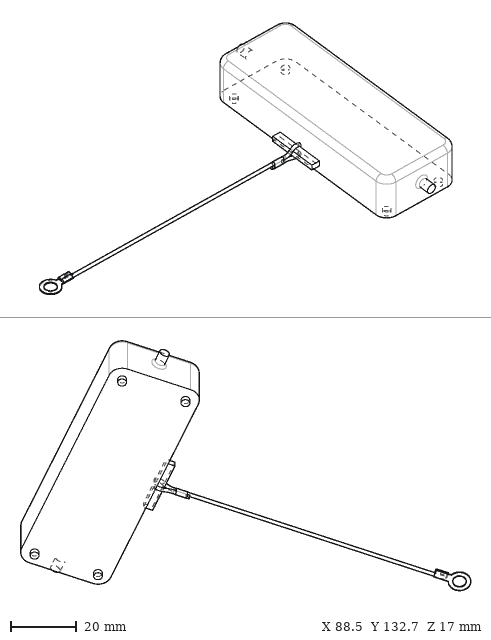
import cadquery as cq

body_length = 79.3
body_width = 29.3
body_height = 15.4
corner_radius = 4.2
top_round = 2.0

foot_diameter = 2.7
foot_height = 1.6

overall_span = 88.5
pin_diameter = 3.2
pin_root_radius = 0.8
pin_height = 7.8

lug_length = 18.2
lug_depth = 3.0
lug_thickness = 2.0
lug_height = 3.8

overall_length = 132.7
cord_diameter = 1.2
cord_height = lug_height
tail_drop = 1.26
loop_anchor = 0.7
loop_anchor_rise = 1.3
loop_crest = 2.3
loop_rise = 2.0
loop_end = 6.1
tail_end = 11.4
cord_insertion = 0.4

ferrule_start = 6.9
ferrule_end = 10.6
ferrule_width = 1.3

ring_diameter = 6.9
ring_hole_diameter = 4.1
ring_thickness = 0.4
terminal_offset = -0.8
crimp_start = 91.8
crimp_length = 4.0
crimp_diameter = 1.3
crimp_spacing = 1.26

wall_y = -body_width / 2
tether_reach = overall_length - body_width
ring_distance = tether_reach - ring_diameter / 2


def rod(diameter, start, end, x, z):
    """Round bar along the tether between two distances from the front wall."""
    return (
        cq.Workplane("XZ", origin=(x, wall_y - start, z))
        .circle(diameter / 2)
        .extrude(end - start)
    )


def cover_body():
    block = cq.Workplane("XY").box(body_length, body_width, body_height, centered=(True, True, False))
    return block.edges("|Z").fillet(corner_radius).faces(">Z").edges().fillet(top_round)


def feet():
    return (
        cq.Workplane("XY")
        .rect(body_length - 2 * corner_radius, body_width - 2 * corner_radius, forConstruction=True)
        .vertices()
        .circle(foot_diameter / 2)
        .extrude(-foot_height)
    )


def locking_pin(side):
    """Pin with a flared root, turned about the X axis; side is +1 or -1."""
    radius = pin_diameter / 2
    wall_x = body_length / 2
    flare = pin_root_radius
    flare_middle = flare * (1 - 0.5 ** 0.5)
    profile = (
        cq.Workplane("XZ")
        .moveTo(0, 0)
        .lineTo(side * overall_span / 2, 0)
        .lineTo(side * overall_span / 2, radius)
        .lineTo(side * (wall_x + flare), radius)
        .threePointArc(
            (side * (wall_x + flare_middle), radius + flare_middle),
            (side * wall_x, radius + flare),
        )
        .lineTo(0, radius + flare)
        .close()
    )
    return profile.revolve(360, (0, 0, 0), (1, 0, 0)).translate((0, 0, pin_height))


def lug():
    depth = lug_depth + lug_thickness
    return cq.Workplane("XY").box(lug_length, depth, lug_thickness).translate(
        (0, wall_y - lug_depth + depth / 2, lug_height)
    )


def strand(side, end_drop, end):
    """One length of cord: over (+1) or under (-1) the lug, then straight out to its end."""
    path = (
        cq.Workplane("YZ", origin=(0, wall_y, cord_height))
        .spline(
            [
                (loop_anchor, side * loop_anchor_rise),
                (-loop_crest, side * loop_rise),
                (-loop_end, -end_drop),
            ],
            tangents=[(-loop_crest, side * loop_rise), (-1, 0)],
        )
        .lineTo(-end, -end_drop)
    )
    section_plane = cq.Plane(
        origin=(0, wall_y + loop_anchor, cord_height + side * loop_anchor_rise),
        xDir=(1, 0, 0),
        normal=(0, -loop_crest, side * loop_rise),
    )
    return cq.Workplane(section_plane).circle(cord_diameter / 2).sweep(path)


def ferrule():
    height = ferrule_width + tail_drop
    return (
        cq.Workplane("XZ", origin=(0, wall_y - ferrule_start, cord_height - tail_drop / 2))
        .slot2D(height, ferrule_width, 90)
        .extrude(ferrule_end - ferrule_start)
    )


def tether():
    cord = strand(1, 0, crimp_start + cord_insertion)
    tail = strand(-1, tail_drop, tail_end)
    return cord.union(tail).union(ferrule())


def ring_terminal():
    plate = cq.Workplane(
        "XY", origin=(terminal_offset, wall_y, cord_height - crimp_diameter / 2)
    )
    ring = plate.center(0, -ring_distance).circle(ring_diameter / 2).extrude(ring_thickness)
    neck_length = ring_distance - crimp_start
    neck = (
        plate.center(0, -crimp_start - neck_length / 2)
        .rect(crimp_spacing + crimp_diameter, neck_length)
        .extrude(ring_thickness)
    )
    hole = plate.center(0, -ring_distance).circle(ring_hole_diameter / 2).extrude(ring_thickness)
    terminal = ring.union(neck).cut(hole)
    for side in (-1, 1):
        barrel_x = terminal_offset + side * crimp_spacing / 2
        barrel = rod(crimp_diameter, crimp_start, crimp_start + crimp_length, barrel_x, cord_height)
        terminal = terminal.union(barrel)
    return terminal


result = cover_body().union(feet()).union(lug())
for pin_side in (-1, 1):
    result = result.union(locking_pin(pin_side))
result = result.union(tether()).union(ring_terminal())